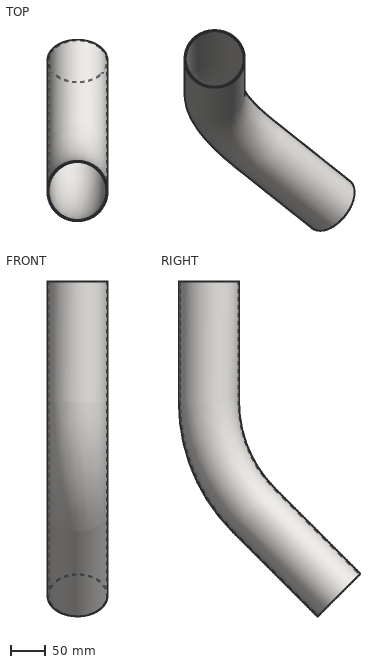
import cadquery as cq
import math

total_height = 492.0
outer_diameter = 89.0
inner_diameter = 84.5
leg_length = 177.0
bend_angle = 45.0

outer_radius = outer_diameter / 2
bend_sin = math.sin(math.radians(bend_angle))
bend_cos = math.cos(math.radians(bend_angle))
lower_leg_drop = leg_length * bend_cos
end_rim_drop = outer_radius * bend_sin
bend_drop = total_height - leg_length - lower_leg_drop - end_rim_drop
bend_radius = bend_drop / bend_sin


def straight_leg():
    """Tube standing on the XY plane, centred on the Z axis."""
    return (
        cq.Workplane("XY")
        .circle(outer_diameter / 2)
        .circle(inner_diameter / 2)
        .extrude(leg_length)
    )


def bend():
    """Tube arc that starts at the origin heading down and curves toward +Y."""
    return (
        cq.Workplane("XY")
        .circle(outer_diameter / 2)
        .circle(inner_diameter / 2)
        .revolve(bend_angle, (0, bend_radius, 0), (1, bend_radius, 0))
    )


lower_leg = (
    straight_leg()
    .translate((0, 0, -leg_length))
    .rotate((0, bend_radius, 0), (1, bend_radius, 0), bend_angle)
)

result = straight_leg().union(bend()).union(lower_leg)